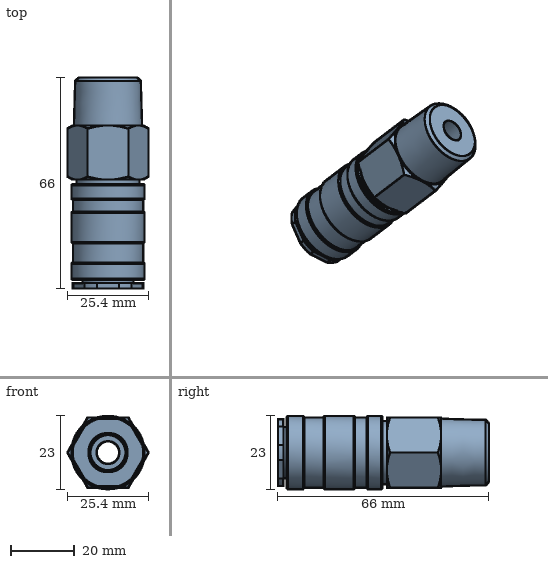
import cadquery as cq
import math

total_length = 66.0

flange_thickness = 1.7
flange_radius = 11.0
flange_across_flats = 21.0
flange_neck_radius = 8.05

band_radius = 11.5
groove_radius = 11.0
front_band = (2.7, 8.25)
middle_band = (14.2, 24.15)
rear_band = (27.7, 32.75)
band_chamfer_length = 0.45
band_chamfer_depth = band_radius - groove_radius

body_neck_radius = 9.9
hex_start = 34.05
hex_end = 51.0
hex_across_corners = 25.4
hex_chamfer_angle = 30.0

thread_end_radius = 10.3
thread_root_radius = 10.7
thread_chamfer_length = 1.05
thread_chamfer_depth = 1.2

tube_bore_radius = 5.5
tube_bore_depth = 26.4
mouth_chamfer = 0.65
through_radius = 3.5


def revolve_profile(points):
    """Turn a closed (radius, y) outline around the Y axis."""
    return cq.Workplane("XY").polyline(points).close().revolve(360, (0, 0, 0), (0, 1, 0))


def cylinder(radius, start, end):
    return revolve_profile([(0, start), (radius, start), (radius, end), (0, end)])


def hex_prism(across_corners, start, end):
    """Hexagonal prism along Y with two corners on the X axis."""
    plane = cq.Workplane("XZ", origin=(0, end, 0))
    return plane.polygon(6, across_corners).extrude(end - start)


def raised_band(start, end):
    """Sleeve band with both outer edges chamfered."""
    edge_radius = band_radius - band_chamfer_depth
    return revolve_profile([
        (0, start),
        (edge_radius, start),
        (band_radius, start + band_chamfer_length),
        (band_radius, end - band_chamfer_length),
        (edge_radius, end),
        (0, end),
    ])


def release_flange():
    across_corners = flange_across_flats / math.cos(math.radians(30))
    flats = hex_prism(across_corners, 0, flange_thickness)
    flange = cylinder(flange_radius, 0, flange_thickness).intersect(flats)
    return flange.union(cylinder(flange_neck_radius, 0, front_band[0]))


def sleeve():
    body = cylinder(groove_radius, front_band[0], rear_band[1])
    for start, end in (front_band, middle_band, rear_band):
        body = body.union(raised_band(start, end))
    return body


def wrench_hex():
    """Hexagon whose corners are cut by a cone at each end."""
    corner_radius = hex_across_corners / 2
    face_radius = corner_radius * math.cos(math.radians(30))
    chamfer_length = (corner_radius - face_radius) * math.tan(math.radians(hex_chamfer_angle))
    envelope = revolve_profile([
        (0, hex_start),
        (face_radius, hex_start),
        (corner_radius, hex_start + chamfer_length),
        (corner_radius, hex_end - chamfer_length),
        (face_radius, hex_end),
        (0, hex_end),
    ])
    return hex_prism(hex_across_corners, hex_start, hex_end).intersect(envelope)


def thread_stub():
    return revolve_profile([
        (0, hex_end),
        (thread_root_radius, hex_end),
        (thread_end_radius, total_length - thread_chamfer_length),
        (thread_end_radius - thread_chamfer_depth, total_length),
        (0, total_length),
    ])


def stepped_bore():
    return revolve_profile([
        (0, 0),
        (tube_bore_radius + mouth_chamfer, 0),
        (tube_bore_radius, mouth_chamfer),
        (tube_bore_radius, tube_bore_depth),
        (through_radius, tube_bore_depth),
        (through_radius, total_length),
        (0, total_length),
    ])


body_neck = cylinder(body_neck_radius, rear_band[1], hex_start)

result = (
    release_flange()
    .union(sleeve())
    .union(body_neck)
    .union(wrench_hex())
    .union(thread_stub())
    .cut(stepped_bore())
)